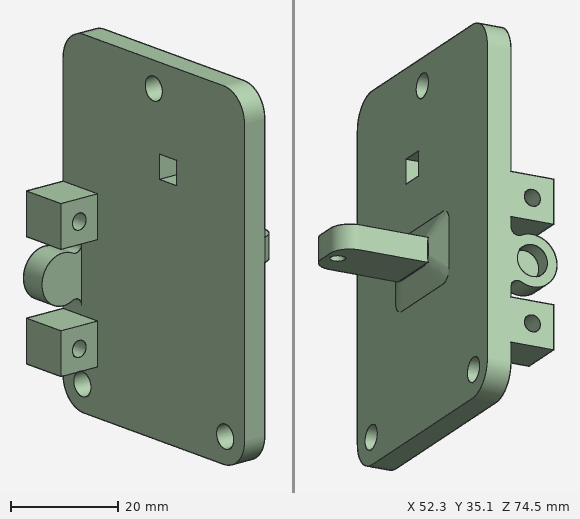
import cadquery as cq
import math

plate_width = 52.3
plate_height = 74.5
plate_thickness = 5.0
plate_corner_radius = 6.0
mount_hole_diameter = 4.9
mount_hole_inset = 5.6
window_side = 5.0
window_x = 4.1
window_z = 16.7

block_side = 9.0
block_length = 10.0
pin_hole_diameter = 3.35
hinge_z = -10.1
block_spacing = 25.05
knuckle_radius = 5.2
knuckle_length = 5.4
knuckle_bore_diameter = 6.3
knuckle_bore_depth = 3.5
knuckle_fillet_radius = 1.5

overall_depth = 35.1
tab_width = 12.0
tab_thickness = 5.0
tab_z = -3.35
tab_corner_radius = 4.0
tab_hole_diameter = 3
tab_hole_inset = 2.5
flare_height = 2.0
flare_top_margin = 0.2
flare_overhang = 4.8
flare_top_radius = 1.7
flare_base_radius = 2.5

left_edge = -plate_width / 2
axis_y = -block_side / 2
tab_tip_y = overall_depth + axis_y - knuckle_radius


def edge_plane(x):
    """Plane facing +X, with local x along Y and local y along Z."""
    return cq.Workplane("YZ", origin=(x, 0, 0))


def make_plate():
    plate = cq.Workplane("XZ").rect(plate_width, plate_height).extrude(-plate_thickness)
    plate = plate.edges("|Y").fillet(plate_corner_radius)
    side_x = plate_width / 2 - mount_hole_inset
    end_z = plate_height / 2 - mount_hole_inset
    hole_points = [(0, end_z), (-side_x, -end_z), (side_x, -end_z)]
    holes = (
        cq.Workplane("XZ")
        .pushPoints(hole_points)
        .circle(mount_hole_diameter / 2)
        .extrude(-plate_thickness)
    )
    window = (
        cq.Workplane("XZ")
        .center(window_x, window_z)
        .rect(window_side, window_side)
        .extrude(-plate_thickness)
    )
    return plate.cut(holes).cut(window)


def make_block(z):
    """Square hinge block with a pin hole through its length."""
    return (
        edge_plane(left_edge)
        .center(axis_y, z)
        .rect(block_side, block_side)
        .circle(pin_hole_diameter / 2)
        .extrude(block_length)
    )


def make_knuckle():
    """Round knuckle blended into the plate, with a blind bore from its outer end."""
    center_distance = knuckle_radius + knuckle_fillet_radius
    blend_center_y = -knuckle_fillet_radius
    blend_offset_y = blend_center_y - axis_y
    blend_z = math.sqrt(center_distance**2 - blend_offset_y**2)
    touch_ratio = knuckle_radius / center_distance
    touch_y = axis_y + blend_offset_y * touch_ratio
    touch_z = blend_z * touch_ratio

    plate_angle = 0
    circle_angle = math.atan2(-blend_z, -blend_offset_y)
    middle_angle = (plate_angle + circle_angle) / 2
    middle_y = blend_center_y + knuckle_fillet_radius * math.cos(middle_angle)
    middle_z = blend_z + knuckle_fillet_radius * math.sin(middle_angle)

    knuckle = (
        edge_plane(left_edge)
        .center(0, hinge_z)
        .moveTo(0, blend_z)
        .threePointArc((middle_y, middle_z), (touch_y, touch_z))
        .threePointArc((axis_y - knuckle_radius, 0), (touch_y, -touch_z))
        .threePointArc((middle_y, -middle_z), (0, -blend_z))
        .close()
        .extrude(knuckle_length)
    )
    bore = (
        edge_plane(left_edge)
        .center(axis_y, hinge_z)
        .circle(knuckle_bore_diameter / 2)
        .extrude(knuckle_bore_depth)
    )
    return knuckle.cut(bore)


def make_tab():
    tab_length = tab_tip_y - plate_thickness
    tab = cq.Workplane("XY").box(tab_width, tab_length, tab_thickness)
    tab = tab.edges("|Z and >Y").fillet(tab_corner_radius)
    tab = tab.translate((0, plate_thickness + tab_length / 2, tab_z))
    hole = (
        cq.Workplane("XY", origin=(0, 0, tab_z))
        .center(0, tab_tip_y - tab_hole_inset)
        .circle(tab_hole_diameter / 2)
        .extrude(tab_thickness / 2, both=True)
    )
    return tab.cut(hole)


def flare_section(margin, corner_radius):
    """Rounded rectangle that surrounds the tab by the given margin."""
    width = tab_width + 2 * margin
    height = tab_thickness + 2 * margin
    return cq.Sketch().rect(width, height).vertices().fillet(corner_radius)


def make_flare():
    base_plane = cq.Workplane("XZ", origin=(0, plate_thickness, tab_z))
    return (
        base_plane
        .placeSketch(
            flare_section(flare_overhang, flare_base_radius),
            flare_section(flare_top_margin, flare_top_radius).moved(
                cq.Location(cq.Vector(0, 0, -flare_height))
            ),
        )
        .loft()
    )


result = make_plate().union(make_knuckle())
for side in (-1, 1):
    result = result.union(make_block(hinge_z + side * block_spacing / 2))
result = result.union(make_flare()).union(make_tab())